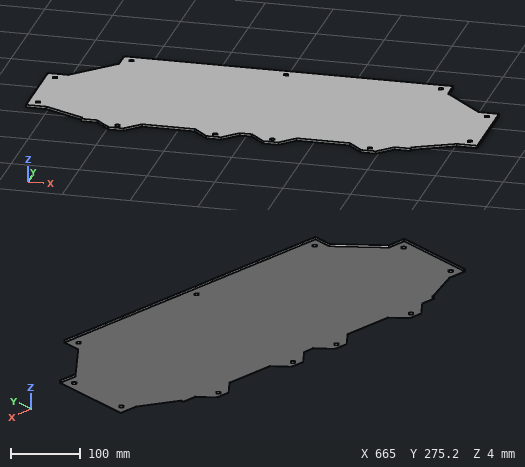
import cadquery as cq

overall_length = 665.0
overall_width = 275.25
thickness = 4.0

body_length = 485.0
body_depth = 253.0
wing_rear_inset = 90.0
wing_width = 129.0
wing_land = 30.0
rear_step = 30.0
front_step = 5.0

tab_centers_x = (42.0, 186.0)
tab_tip_length = 22.0

hole_diameter = 6.6
hole_inset = 14.5
wing_hole_spacing = 100.0
tab_hole_inset = 9.75

rear_y = overall_width / 2
tip_y = -overall_width / 2
front_y = rear_y - body_depth
wing_rear_y = rear_y - wing_rear_inset
wing_front_y = wing_rear_y - wing_width
wing_middle_y = (wing_rear_y + wing_front_y) / 2
body_end_x = body_length / 2
wing_end_x = overall_length / 2
wing_root_x = wing_end_x - wing_land
tab_height = front_y - tip_y


def right_half_outline():
    """Points of the right half, from the rear edge clockwise to the front edge."""
    points = [
        (body_end_x, rear_y),
        (body_end_x, rear_y - rear_step),
        (wing_root_x, wing_rear_y),
        (wing_end_x, wing_rear_y),
        (wing_end_x, wing_front_y),
        (wing_root_x, wing_front_y),
        (body_end_x, front_y + front_step),
        (body_end_x, front_y),
    ]
    half_tip = tab_tip_length / 2
    half_base = half_tip + tab_height
    for center_x in reversed(tab_centers_x):
        points += [
            (center_x + half_base, front_y),
            (center_x + half_tip, tip_y),
            (center_x - half_tip, tip_y),
            (center_x - half_base, front_y),
        ]
    return points


def make_plate():
    """Flat plate, symmetric about the YZ plane."""
    right = right_half_outline()
    left = [(-x, y) for x, y in reversed(right)]
    return cq.Workplane("XY").polyline(right + left).close().extrude(thickness)


def hole_centers():
    """Centers of all mounting holes."""
    rear_hole_y = rear_y - hole_inset
    centers = [(0, rear_hole_y)]
    for side in (-1, 1):
        centers.append((side * (body_end_x - hole_inset), rear_hole_y))
        for end in (-1, 1):
            wing_hole_y = wing_middle_y + end * wing_hole_spacing / 2
            centers.append((side * (wing_end_x - hole_inset), wing_hole_y))
        for center_x in tab_centers_x:
            centers.append((side * center_x, tip_y + tab_hole_inset))
    return centers


def drill_mounting_holes(plate):
    """Drill every mounting hole through the plate."""
    top = plate.faces(">Z").workplane(origin=(0, 0, 0))
    return top.pushPoints(hole_centers()).hole(hole_diameter)


result = drill_mounting_holes(make_plate())